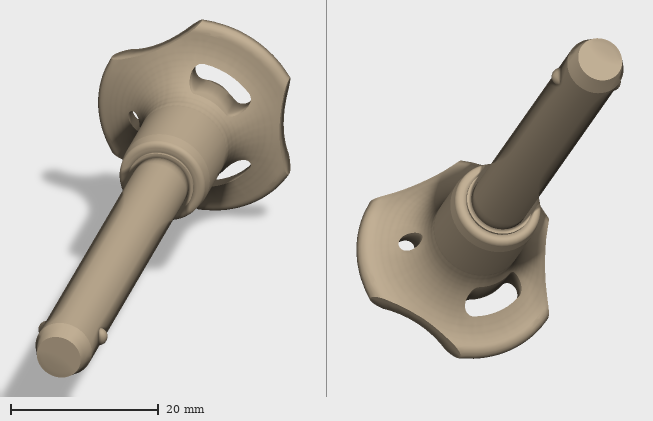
import cadquery as cq
import math


shank_radius = 7.9 / 2
shank_tip_y = -51.95
tip_radius = 3.1
tip_chamfer_length = 2.5
ball_radius = 1.2
ball_center_x = 3.6
ball_from_tip = 7.2

collar_radius = 4.6
collar_length = 0.4
collar_seat_y = 2.25

total_length = 75.2
button_radius = 3.9
button_top_y = shank_tip_y + total_length
button_height = 1.6
button_chamfer = 0.2

hub_radius = 12.4 / 2
hub_front_radius = 6.0
hub_front_fillet = 0.75
hub_taper_start_y = 2.25

handle_radius = 28.8 / 2
rim_round = 1.4
rim_ring_radius = handle_radius - rim_round
rim_back_y = button_top_y - button_height
rim_mid_y = rim_back_y - rim_round
flare_radius = 8.1
dish_depth = 4.65

lobe_angles = (60, 180, 300)
lobe_half_pitch = 60
slot_angles = (60, 300)
scallop_radius = 30.1
scallop_floor_radius = 11.5
pierce_ring_radius = 8.1
hole_radius = 2.5 / 2
slot_end_radius = 2.8 / 2
slot_half_angle = 22.5


def polar(radius, angle):
    """Return the X, Z position at an angle (degrees, from +X towards +Z)."""
    return radius * math.cos(math.radians(angle)), radius * math.sin(math.radians(angle))


def prism_plane():
    """Plane behind the handle, local x = X and local y = Z, extruding towards -Y."""
    return cq.Workplane("XZ", origin=(0, button_top_y, 0))


def make_handle_body():
    """Revolve the hub, the tangent flare, the round rim and the dished back."""
    flare_center_r = hub_radius + flare_radius
    center_distance = flare_radius + rim_round
    center_dr = flare_center_r - rim_ring_radius
    center_dy = math.sqrt(center_distance**2 - center_dr**2)
    flare_center_y = rim_mid_y - center_dy

    touch = (
        rim_ring_radius + rim_round * center_dr / center_distance,
        rim_mid_y - rim_round * center_dy / center_distance,
    )
    touch_angle = math.atan2(center_dy, -center_dr)
    flare_mid_angle = (math.pi + touch_angle) / 2
    flare_mid = (
        flare_center_r + flare_radius * math.cos(flare_mid_angle),
        flare_center_y + flare_radius * math.sin(flare_mid_angle),
    )

    dish_sphere_radius = (rim_ring_radius**2 + dish_depth**2) / (2 * dish_depth)
    dish_floor_y = rim_back_y - dish_depth
    dish_mid_r = rim_ring_radius / 2
    dish_mid_rise = dish_sphere_radius - math.sqrt(dish_sphere_radius**2 - dish_mid_r**2)

    fillet_mid = hub_front_fillet * (1 - math.sqrt(0.5))
    profile = (
        cq.Workplane("XY")
        .lineTo(hub_front_radius - hub_front_fillet, 0)
        .threePointArc((hub_front_radius - fillet_mid, fillet_mid), (hub_front_radius, hub_front_fillet))
        .lineTo(hub_radius, hub_taper_start_y)
        .lineTo(hub_radius, flare_center_y)
        .threePointArc(flare_mid, touch)
        .threePointArc((handle_radius, rim_mid_y), (rim_ring_radius, rim_back_y))
        .threePointArc((dish_mid_r, dish_floor_y + dish_mid_rise), (0, dish_floor_y))
        .close()
    )
    return profile.revolve(360, (0, 0, 0), (0, 1, 0))


def make_scallop(lobe_angle):
    """Cutter for the concave side that follows a lobe, midway to the next one."""
    center = polar(scallop_floor_radius + scallop_radius, lobe_angle + lobe_half_pitch)
    return prism_plane().center(*center).circle(scallop_radius).extrude(button_top_y)


def make_slot(angle):
    """Cutter for a round-ended slot curved about the pin axis."""
    inner = pierce_ring_radius - slot_end_radius
    outer = pierce_ring_radius + slot_end_radius
    start = angle - slot_half_angle
    end = angle + slot_half_angle
    end_cap_shift = math.degrees(slot_end_radius / pierce_ring_radius)
    return (
        prism_plane()
        .moveTo(*polar(inner, start))
        .threePointArc(polar(inner, angle), polar(inner, end))
        .threePointArc(polar(pierce_ring_radius, end + end_cap_shift), polar(outer, end))
        .threePointArc(polar(outer, angle), polar(outer, start))
        .threePointArc(polar(pierce_ring_radius, start - end_cap_shift), polar(inner, start))
        .close()
        .extrude(button_top_y)
    )


def make_handle():
    """Flared handle trimmed to three lobes, with two slots and a round hole."""
    handle = make_handle_body()
    for lobe_angle in lobe_angles:
        handle = handle.cut(make_scallop(lobe_angle))
    for slot_angle in slot_angles:
        handle = handle.cut(make_slot(slot_angle))
    hole = prism_plane().center(-pierce_ring_radius, 0).circle(hole_radius).extrude(button_top_y)
    return handle.cut(hole)


def make_pin():
    """Revolve the shank with its tapered tip, the collar and the push button."""
    return (
        cq.Workplane("XY")
        .moveTo(0, shank_tip_y)
        .lineTo(tip_radius, shank_tip_y)
        .lineTo(shank_radius, shank_tip_y + tip_chamfer_length)
        .lineTo(shank_radius, -collar_length)
        .lineTo(collar_radius, -collar_length)
        .lineTo(collar_radius, collar_seat_y)
        .lineTo(button_radius, collar_seat_y)
        .lineTo(button_radius, button_top_y - button_chamfer)
        .lineTo(button_radius - button_chamfer, button_top_y)
        .lineTo(0, button_top_y)
        .close()
        .revolve(360, (0, 0, 0), (0, 1, 0))
    )


def make_ball(side):
    """Locking ball protruding from the shank on the +X or -X side."""
    return cq.Workplane("XY").sphere(ball_radius).translate(
        (side * ball_center_x, shank_tip_y + ball_from_tip, 0)
    )


result = make_handle().union(make_pin())
for ball_side in (-1, 1):
    result = result.union(make_ball(ball_side))